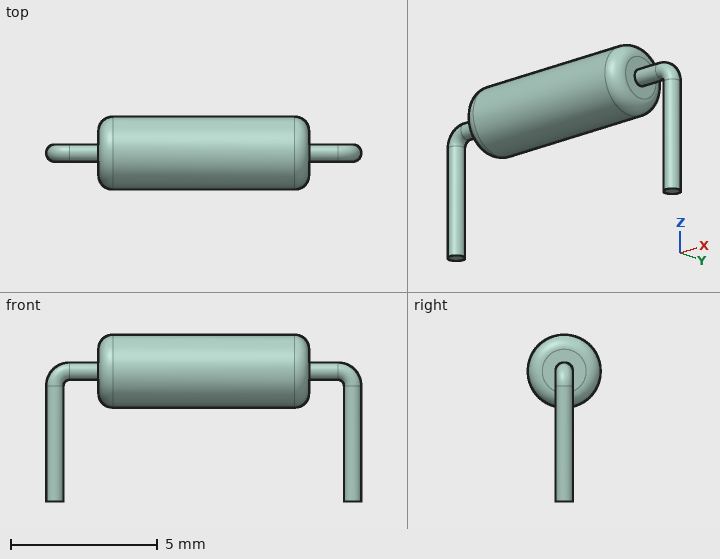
import cadquery as cq


body_length = 7.2
body_diameter = 2.5
body_edge_radius = 0.5
lead_diameter = 0.6
lead_pitch = 10.16
lead_bend_radius = 0.5
lead_drop = 3.2

body_end_x = body_length / 2
axis_z = body_diameter / 2
lead_leg_x = lead_pitch / 2
bend_start_x = lead_leg_x - lead_bend_radius
bend_end_z = axis_z - lead_bend_radius
lead_tip_z = -lead_drop


def make_body():
    """Cylinder along X with both end edges rounded."""
    return (
        cq.Workplane("YZ", origin=(-body_end_x, 0, axis_z))
        .circle(body_diameter / 2)
        .extrude(body_length)
        .faces("<X or >X")
        .edges()
        .fillet(body_edge_radius)
    )


def make_lead(side):
    """Round wire from one end face of the body, bent down; side is -1 or +1 along X."""
    path = (
        cq.Workplane("XZ")
        .moveTo(side * body_end_x, axis_z)
        .lineTo(side * bend_start_x, axis_z)
        .tangentArcPoint((side * lead_leg_x, bend_end_z), relative=False)
        .lineTo(side * lead_leg_x, lead_tip_z)
    )
    return (
        cq.Workplane("YZ", origin=(side * body_end_x, 0, axis_z))
        .circle(lead_diameter / 2)
        .sweep(path)
    )


body = make_body()
leads = [make_lead(side) for side in (-1, 1)]

result = cq.Compound.makeCompound([body.val(), *[lead.val() for lead in leads]])